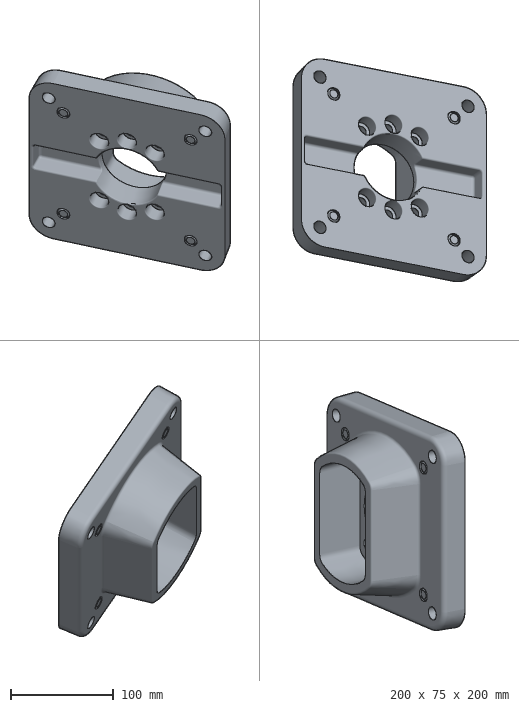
import cadquery as cq
import math

plate_side = 200.0
plate_depth = 25.0
plate_corner_radius = 25.0
plate_back_fillet = 5.0
draft_angle = 3.0

boss_height = 50.0
boss_tip_radius = 70.0
boss_tip_half_width = 48.0
boss_corner_radius = 10.0
boss_draft_angle = 12.0
boss_wall = 10.0
cavity_corner_radius = 10.0
boss_tip_fillet = 1.8
boss_root_fillet = 3.0
total_depth = plate_depth + boss_height

bore_radius = 34.8
bore_rim_fillet = 1.5
slot_half_length = 96.0
slot_half_width = 14.8
slot_depth = 18.0
slot_corner_radius = 3.0
slot_rim_fillet = 2.0

corner_hole_diameter = 13.0
corner_hole_offset = 80.0
screw_hole_diameter = 11.2
screw_head_radius = 9.5
screw_head_depth = 15.0
screw_head_rim = 1.0
middle_screw_z = 45.5
side_screw_x = 28.5
side_screw_z = 38.0
screw_places = [
    (-side_screw_x, side_screw_z),
    (0, middle_screw_z),
    (side_screw_x, side_screw_z),
    (-side_screw_x, -side_screw_z),
    (0, -middle_screw_z),
    (side_screw_x, -side_screw_z),
]

pin_diameter = 13.0
pin_chamfer = 2.2
pin_offset = 65.0


def square_places(offset):
    """The four points (+-offset, +-offset)."""
    return [(sx * offset, sz * offset) for sx in (-1, 1) for sz in (-1, 1)]


def facing_back(depth):
    """Workplane at Y = depth whose normal points along +Y."""
    return cq.Workplane(cq.Plane((0, depth, 0), (1, 0, 0), (0, 1, 0)))


def boss_tip_plane():
    """Workplane on the free end of the boss whose normal points along -Y, into the boss."""
    return cq.Workplane("XZ", origin=(0, total_depth, 0))


def plate_holes(places, diameter):
    """Cutters for straight holes through the plate."""
    return facing_back(0).pushPoints(places).circle(diameter / 2).extrude(plate_depth)


def flat_sided_round(plane, radius, half_width, corner_radius):
    """Outline of a circle cut by two flats at X = +-half_width, with rounded corners."""
    center_x = half_width - corner_radius
    center_y = math.sqrt((radius - corner_radius) ** 2 - center_x ** 2)
    reach = radius / (radius - corner_radius)
    blend_x = center_x * reach
    blend_y = center_y * reach
    middle_angle = math.atan2(center_y, center_x) / 2
    middle_x = center_x + corner_radius * math.cos(middle_angle)
    middle_y = center_y + corner_radius * math.sin(middle_angle)
    return (
        plane.moveTo(half_width, -center_y)
        .lineTo(half_width, center_y)
        .threePointArc((middle_x, middle_y), (blend_x, blend_y))
        .threePointArc((0, radius), (-blend_x, blend_y))
        .threePointArc((-middle_x, middle_y), (-half_width, center_y))
        .lineTo(-half_width, -center_y)
        .threePointArc((-middle_x, -middle_y), (-blend_x, -blend_y))
        .threePointArc((0, -radius), (blend_x, -blend_y))
        .threePointArc((middle_x, -middle_y), (half_width, -center_y))
        .close()
    )


def make_plate():
    """Square plate that narrows by the draft towards its rounded back edge."""
    outline = cq.Sketch().rect(plate_side, plate_side).vertices().fillet(plate_corner_radius)
    plate = facing_back(0).placeSketch(outline).extrude(plate_depth, taper=draft_angle)
    return plate.faces(">Y").edges().fillet(plate_back_fillet)


def make_boss():
    """Solid boss that widens from its free end to the plate."""
    outline = flat_sided_round(
        boss_tip_plane(), boss_tip_radius, boss_tip_half_width, boss_corner_radius
    )
    boss = outline.extrude(boss_height, taper=-boss_draft_angle)
    return boss.faces(">Y").edges().fillet(boss_tip_fillet)


def make_cavity():
    """Drafted hollow of the boss, open at its free end and closed by the plate."""
    radius = boss_tip_radius - boss_wall
    width = 2 * (boss_tip_half_width - boss_wall)
    clear_length = 4 * radius
    cone = boss_tip_plane().circle(radius).extrude(boss_height, taper=-draft_angle)
    wedge = boss_tip_plane().rect(width, clear_length).extrude(boss_height, taper=-draft_angle)
    return cone.intersect(wedge).edges("not (<Y or >Y)").fillet(cavity_corner_radius)


def make_slot():
    """Slot cutter with drafted ends, rounded everywhere except at its mouth."""
    floor_half_length = slot_half_length - slot_depth * math.tan(math.radians(draft_angle))
    slot = (
        cq.Workplane("XY", origin=(0, 0, -slot_half_width))
        .moveTo(-slot_half_length, 0)
        .lineTo(slot_half_length, 0)
        .lineTo(floor_half_length, slot_depth)
        .lineTo(-floor_half_length, slot_depth)
        .close()
        .extrude(2 * slot_half_width)
    )
    return slot.edges("not <Y").fillet(slot_corner_radius)


def make_bore():
    """Conical bore cutter, widest at the front face."""
    return facing_back(0).circle(bore_radius).extrude(plate_depth, taper=draft_angle)


def make_screw_cutter(x, z):
    """Counterbored screw hole with a rounded rim at the front face."""
    mouth_radius = screw_head_radius + screw_head_rim
    hole_radius = screw_hole_diameter / 2
    rim_middle = screw_head_rim * (1 - math.sqrt(0.5))
    profile = (
        cq.Workplane("XY")
        .lineTo(mouth_radius, 0)
        .threePointArc(
            (screw_head_radius + rim_middle, rim_middle),
            (screw_head_radius, screw_head_rim),
        )
        .lineTo(screw_head_radius, screw_head_depth)
        .lineTo(hole_radius, screw_head_depth)
        .lineTo(hole_radius, plate_depth)
        .lineTo(0, plate_depth)
        .close()
    )
    return profile.revolve(360, (0, 0), (0, 1)).translate((x, 0, z))


def fillet_inner_rim(body, face, radius):
    """Round the edges of the only inner outline of a face."""
    rim_edges = face.val().innerWires()[0].Edges()
    return body.newObject(rim_edges).fillet(radius)


def fillet_bore_rim(body):
    """Round the bore where it meets the front face, the slot walls and the slot floor."""
    reach = bore_radius + bore_rim_fillet / 2
    margin = bore_rim_fillet / 2
    mouth = cq.selectors.BoxSelector(
        (-reach, -margin, -reach), (reach, slot_depth + margin, reach), boundingbox=True
    )
    return body.edges(mouth).fillet(bore_rim_fillet)


def make_housing():
    body = make_plate().union(make_boss())
    plate_back = body.faces("|Y").faces(">Y[-2]")
    body = fillet_inner_rim(body, plate_back, boss_root_fillet)
    body = body.cut(make_cavity())

    body = body.cut(make_slot())
    body = fillet_inner_rim(body, body.faces("<Y"), slot_rim_fillet)
    body = fillet_bore_rim(body.cut(make_bore()))

    for x, z in screw_places:
        body = body.cut(make_screw_cutter(x, z))
    body = body.cut(plate_holes(square_places(corner_hole_offset), corner_hole_diameter))
    body = body.cut(plate_holes(square_places(pin_offset), pin_diameter))
    return body.solids()


def make_pin(x, z):
    """Pin as long as the plate is thick, chamfered at both ends."""
    pin = facing_back(0).circle(pin_diameter / 2).extrude(plate_depth)
    return pin.faces("|Y").edges().chamfer(pin_chamfer).translate((x, 0, z))


housing = make_housing()
pins = [make_pin(x, z) for x, z in square_places(pin_offset)]

result = cq.Compound.makeCompound([housing.val(), *[pin.val() for pin in pins]])